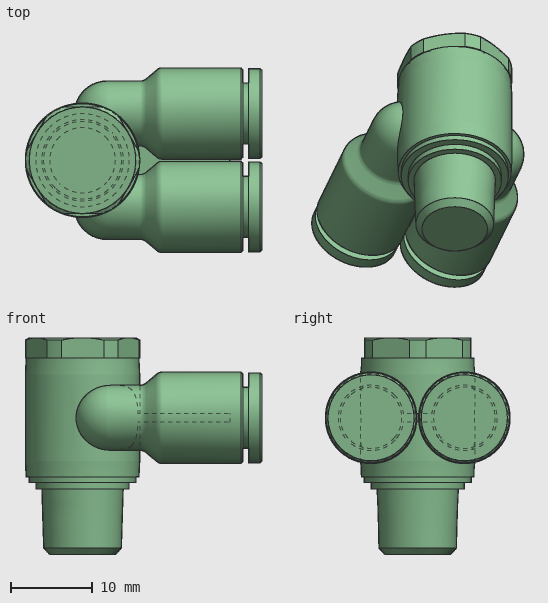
import cadquery as cq
import math

TIP_CHAMFER_Z = 0.8
THREAD_TOP_Z = 8.0
LOWER_FLANGE_TOP_Z = 8.8
UPPER_FLANGE_TOP_Z = 9.5
LOWER_TAPER_TOP_Z = 11.4
UPPER_TAPER_BASE_Z = 22.0
BODY_TOP_Z = 24.0
HEAD_TOP_Z = 26.5

BODY_RADIUS = 7.0
BODY_DRAFT_DEG = 3.0
LOWER_FLANGE_RADIUS = 5.7
UPPER_FLANGE_RADIUS = 6.55
THREAD_TOP_RADIUS = 4.98
THREAD_TAPER = 1 / 16
TIP_RADIUS = 4.0

HEX_ACROSS_FLATS = 13.0
HEAD_CHAMFER_DEG = 30.0

PORT_Z = 16.72
PORT_SPACING = 11.4
ELBOW_X = 3.0
NECK_RADIUS = 4.0
NECK_END_X = 7.1
FLARE_DEG = 40.0
FLARE_FILLET_RADIUS = 1.0
BARREL_RADIUS = 5.6
BARREL_END_X = 19.6
BARREL_CHAMFER = 0.25
GROOVE_RADIUS = 3.75
COLLAR_START_X = 20.3
COLLAR_END_X = 21.95
COLLAR_RADIUS = 5.5
COLLAR_CHAMFER = 0.25

WEB_END_X = 18.0
WEB_THICKNESS = 1.0


def make_body():
    """Turned body: tapered thread, two flanges and a barrel drafted at both ends."""
    draft = math.tan(math.radians(BODY_DRAFT_DEG))
    lower_radius = BODY_RADIUS - (LOWER_TAPER_TOP_Z - UPPER_FLANGE_TOP_Z) * draft
    upper_radius = BODY_RADIUS - (BODY_TOP_Z - UPPER_TAPER_BASE_Z) * draft
    thread_tip_radius = THREAD_TOP_RADIUS - (THREAD_TOP_Z - TIP_CHAMFER_Z) * THREAD_TAPER / 2
    profile = [
        (0, 0),
        (TIP_RADIUS, 0),
        (thread_tip_radius, TIP_CHAMFER_Z),
        (THREAD_TOP_RADIUS, THREAD_TOP_Z),
        (LOWER_FLANGE_RADIUS, THREAD_TOP_Z),
        (LOWER_FLANGE_RADIUS, LOWER_FLANGE_TOP_Z),
        (UPPER_FLANGE_RADIUS, LOWER_FLANGE_TOP_Z),
        (UPPER_FLANGE_RADIUS, UPPER_FLANGE_TOP_Z),
        (lower_radius, UPPER_FLANGE_TOP_Z),
        (BODY_RADIUS, LOWER_TAPER_TOP_Z),
        (BODY_RADIUS, UPPER_TAPER_BASE_Z),
        (upper_radius, BODY_TOP_Z),
        (0, BODY_TOP_Z),
    ]
    return cq.Workplane("XZ").polyline(profile).close().revolve(360, (0, 0), (0, 1))


def make_head():
    """Hexagon with its corners turned to the body radius and its top edge chamfered."""
    height = HEAD_TOP_Z - BODY_TOP_Z
    top_radius = HEX_ACROSS_FLATS / 2
    chamfer_width = BODY_RADIUS - top_radius
    chamfer_height = chamfer_width * math.tan(math.radians(HEAD_CHAMFER_DEG))
    across_corners = HEX_ACROSS_FLATS / math.cos(math.radians(30))
    hexagon = cq.Workplane("XY").workplane(offset=BODY_TOP_Z).polygon(6, across_corners).extrude(height)
    turned_profile = [
        (0, BODY_TOP_Z),
        (BODY_RADIUS, BODY_TOP_Z),
        (BODY_RADIUS, HEAD_TOP_Z - chamfer_height),
        (top_radius, HEAD_TOP_Z),
        (0, HEAD_TOP_Z),
    ]
    turned = cq.Workplane("XZ").polyline(turned_profile).close().revolve(360, (0, 0), (0, 1))
    return hexagon.intersect(turned)


def make_port(y):
    """Tube port at the given Y: round-ended neck, flared barrel, groove and release collar."""
    slope = math.radians(FLARE_DEG)
    arc_length = FLARE_FILLET_RADIUS * math.sin(slope)
    arc_rise = FLARE_FILLET_RADIUS * (1 - math.cos(slope))
    arc_mid_length = FLARE_FILLET_RADIUS * math.sin(slope / 2)
    arc_mid_rise = FLARE_FILLET_RADIUS * (1 - math.cos(slope / 2))
    cone_length = (BARREL_RADIUS - NECK_RADIUS - 2 * arc_rise) / math.tan(slope)
    cone_start_x = NECK_END_X + arc_length
    cone_end_x = cone_start_x + cone_length
    barrel_start_x = cone_end_x + arc_length
    dome_offset = NECK_RADIUS * math.sin(math.radians(45))
    profile = (
        cq.Workplane("XY")
        .moveTo(ELBOW_X - NECK_RADIUS, 0)
        .threePointArc((ELBOW_X - dome_offset, dome_offset), (ELBOW_X, NECK_RADIUS))
        .lineTo(NECK_END_X, NECK_RADIUS)
        .threePointArc(
            (NECK_END_X + arc_mid_length, NECK_RADIUS + arc_mid_rise),
            (cone_start_x, NECK_RADIUS + arc_rise),
        )
        .lineTo(cone_end_x, BARREL_RADIUS - arc_rise)
        .threePointArc(
            (barrel_start_x - arc_mid_length, BARREL_RADIUS - arc_mid_rise),
            (barrel_start_x, BARREL_RADIUS),
        )
        .lineTo(BARREL_END_X - BARREL_CHAMFER, BARREL_RADIUS)
        .lineTo(BARREL_END_X, BARREL_RADIUS - BARREL_CHAMFER)
        .lineTo(BARREL_END_X, GROOVE_RADIUS)
        .lineTo(COLLAR_START_X, GROOVE_RADIUS)
        .lineTo(COLLAR_START_X, COLLAR_RADIUS)
        .lineTo(COLLAR_END_X - COLLAR_CHAMFER, COLLAR_RADIUS)
        .lineTo(COLLAR_END_X, COLLAR_RADIUS - COLLAR_CHAMFER)
        .lineTo(COLLAR_END_X, 0)
        .close()
    )
    return profile.revolve(360, (0, 0), (1, 0)).translate((0, y, PORT_Z))


def make_web():
    """Plate between the port axes, from the body axis to near the barrel ends."""
    plate = cq.Workplane("XY").box(WEB_END_X, PORT_SPACING, WEB_THICKNESS)
    return plate.translate((WEB_END_X / 2, 0, PORT_Z))


result = make_body().union(make_head()).union(make_web())
for side in (-1, 1):
    result = result.union(make_port(side * PORT_SPACING / 2))